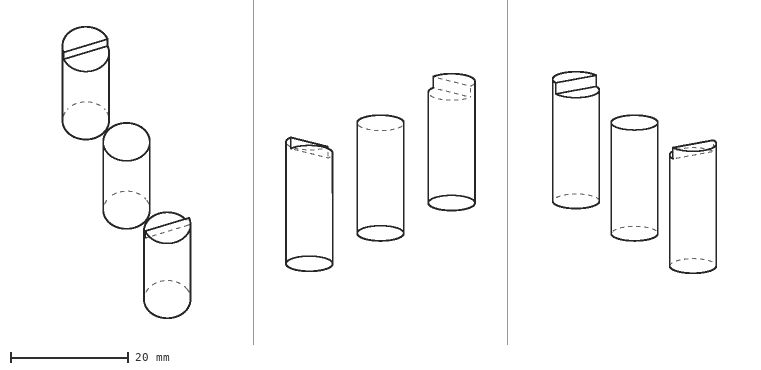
import cadquery as cq

pin_diameter = 8.0
pin_spacing = 20.0
shoulder_height = 20.0
step_height = 2.0

pin_radius = pin_diameter / 2
stepped_pin_height = shoulder_height + step_height


def make_plain_pin():
    """Plain cylinder standing on the XY plane at the origin."""
    return cq.Workplane("XY").circle(pin_radius).extrude(shoulder_height)


def make_stepped_pin(outward):
    """Pin at the end of the row; outward is -1 or +1, the X side that keeps full height."""
    pin = cq.Workplane("XY").circle(pin_radius).extrude(stepped_pin_height)
    inward_half = (
        cq.Workplane("XY")
        .box(pin_diameter, pin_diameter, step_height, centered=(True, True, False))
        .translate((-outward * pin_radius, 0, shoulder_height))
    )
    return pin.cut(inward_half).translate((outward * pin_spacing, 0, 0))


plain_pin = make_plain_pin()
stepped_pins = []
for side in (-1, 1):
    stepped_pins.append(make_stepped_pin(side).val())

result = cq.Compound.makeCompound([plain_pin.val(), *stepped_pins])